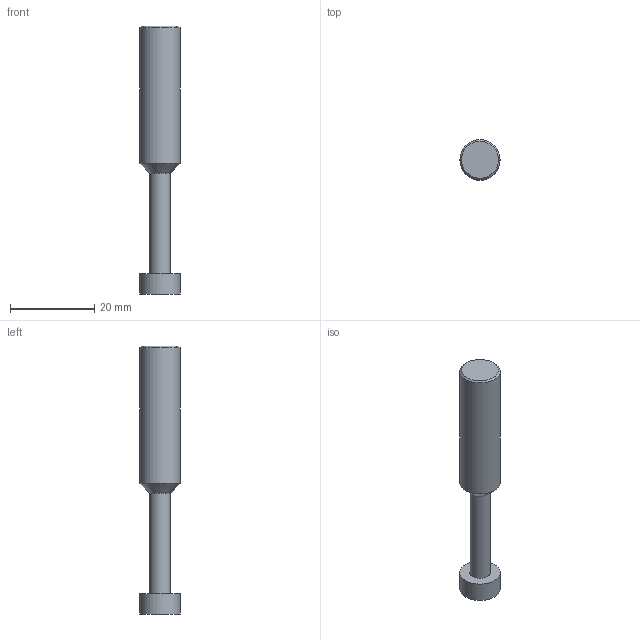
import cadquery as cq

total_length = 63.5
body_diameter = 9.525

flange_height = body_diameter / 2
stem_diameter = 4.8
stem_length = 23.8

top_chamfer = 0.381

body_radius = body_diameter / 2
stem_radius = stem_diameter / 2
stem_top = flange_height + stem_length
cone_top = stem_top + (body_radius - stem_radius)


def turned_pin():
    """Revolve the half profile of the pin about the Z axis."""
    profile = (
        cq.Workplane("XZ")
        .moveTo(0, 0)
        .lineTo(body_radius, 0)
        .lineTo(body_radius, flange_height)
        .lineTo(stem_radius, flange_height)
        .lineTo(stem_radius, stem_top)
        .lineTo(body_radius, cone_top)
        .lineTo(body_radius, total_length - top_chamfer)
        .lineTo(body_radius - top_chamfer, total_length)
        .lineTo(0, total_length)
        .close()
    )
    return profile.revolve(360, (0, 0, 0), (0, 1, 0))


result = turned_pin()